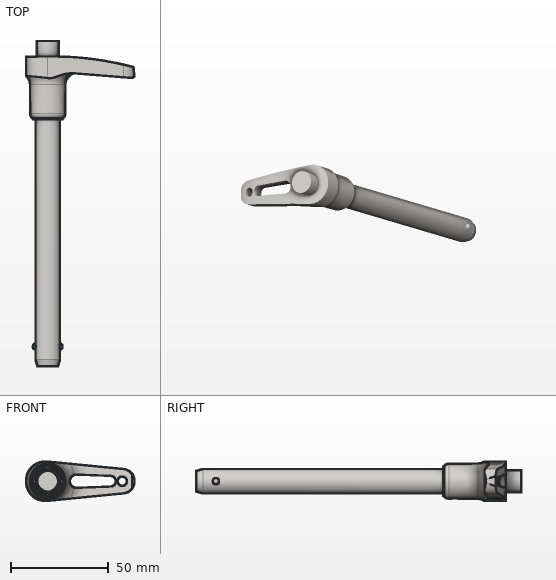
import cadquery as cq
import math

total_length = 166.6
button_length = 8.0
button_radius = 5.7

shank_radius = 6.3
shank_end_y = button_length - total_length
nose_length = 3.5
nose_radius = 5.3
ball_radius = 1.7
ball_offset = 6.0
ball_from_end = 10.2

collar_top_radius = 9.2
collar_radius = 9.0
collar_start_y = -14.2
collar_round_y = -29.2
collar_step_y = -31.3
collar_end_y = -32.2
round_inset = 0.2
collar_step_radius = 8.0
collar_lip_radius = 7.5
flare_radius = 5.7

head_x = -1.0
head_radius = 10.2
tip_x = 38.2
tip_radius = 6.3

curve_start_x = 10.0
curve_middle = (26.3, -1.7)
tip_end_x = tip_x + tip_radius
tip_slant = 0.5
tip_top_y = -5.3
tip_bottom_y = -11.0
tip_chamfer_length = 1.3
tip_chamfer_height = 0.8
underside_start_x = 12.2
flare_top_y = collar_start_y + flare_radius
flare_outer_radius = collar_top_radius + flare_radius

hole_radius = 2.3
slot_inner_x = 14.7
slot_inner_radius = 3.3
slot_outer_x = 32.2
slot_outer_radius = 2.7


def tapered_bar(x1, r1, x2, r2):
    """Prism from y = 0 to the collar, bounded by two arcs and their common tangents."""
    cosine = (r1 - r2) / (x2 - x1)
    sine = math.sqrt(1 - cosine**2)
    tangent_1 = (x1 + r1 * cosine, r1 * sine)
    tangent_2 = (x2 + r2 * cosine, r2 * sine)
    return (
        cq.Workplane("XZ")
        .moveTo(*tangent_1)
        .lineTo(*tangent_2)
        .threePointArc((x2 + r2, 0), (tangent_2[0], -tangent_2[1]))
        .lineTo(tangent_1[0], -tangent_1[1])
        .threePointArc((x1 - r1, 0), tangent_1)
        .close()
        .extrude(-collar_start_y)
    )


def revolve_about_pin(profile):
    return profile.close().revolve(360, (0, 0, 0), (0, 1, 0))


def make_lever():
    outline = tapered_bar(head_x, head_radius, tip_x, tip_radius)
    head_left_x = head_x - head_radius
    side_profile = (
        cq.Workplane("XY")
        .moveTo(head_left_x, 0)
        .lineTo(curve_start_x, 0)
        .threePointArc(curve_middle, (tip_end_x - tip_slant, tip_top_y))
        .lineTo(tip_end_x, tip_bottom_y + tip_chamfer_height)
        .lineTo(tip_end_x - tip_chamfer_length, tip_bottom_y)
        .lineTo(underside_start_x, flare_top_y)
        .lineTo(head_left_x, flare_top_y)
        .close()
        .extrude(head_radius, both=True)
    )
    arc_middle = (
        flare_outer_radius - flare_radius * math.sqrt(0.5),
        collar_start_y + flare_radius * math.sqrt(0.5),
    )
    flare = revolve_about_pin(
        cq.Workplane("XY")
        .moveTo(0, collar_start_y)
        .lineTo(collar_top_radius, collar_start_y)
        .threePointArc(arc_middle, (flare_outer_radius, flare_top_y))
        .lineTo(0, flare_top_y)
    )
    slot = tapered_bar(slot_inner_x, slot_inner_radius, slot_outer_x, slot_outer_radius)
    hole = cq.Workplane("XZ").center(tip_x, 0).circle(hole_radius).extrude(-collar_start_y)
    return side_profile.union(flare).intersect(outline).cut(slot).cut(hole)


def make_pin():
    """Button, collar and shank in one turned body."""
    round_middle = (collar_radius - round_inset, (collar_round_y + collar_step_y) / 2)
    return revolve_about_pin(
        cq.Workplane("XY")
        .moveTo(0, button_length)
        .lineTo(button_radius, button_length)
        .lineTo(button_radius, collar_start_y)
        .lineTo(collar_top_radius, collar_start_y)
        .lineTo(collar_radius, collar_round_y)
        .threePointArc(round_middle, (collar_step_radius, collar_step_y))
        .lineTo(collar_lip_radius, collar_end_y)
        .lineTo(shank_radius, collar_end_y)
        .lineTo(shank_radius, shank_end_y + nose_length)
        .lineTo(nose_radius, shank_end_y)
        .lineTo(0, shank_end_y)
    )


result = make_lever().union(make_pin())
for side in (-1, 1):
    ball = cq.Workplane("XY").sphere(ball_radius)
    result = result.union(ball.translate((side * ball_offset, shank_end_y + ball_from_end, 0)))